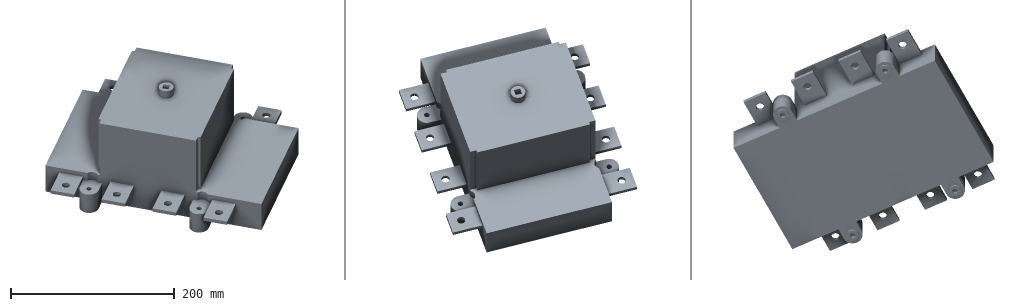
import cadquery as cq

BASE_LENGTH = 275.0
BASE_DEPTH = 160.0
BASE_HEIGHT = 40.0

CENTRE_X = -7.5

HOUSING_LENGTH = 130.0
HOUSING_TOP = 119.0
NOTCH_LENGTH = 3.5
NOTCH_DEPTH = 8.0

SHAFT_DIAMETER = 18.0
SHAFT_TOP = 130.0
SOCKET_SIDE = 8.0
SOCKET_DEPTH = 10.0
SEAT_DIAMETER = 30.0
SEAT_DEPTH = 0.3

TERMINAL_COUNT = 4
TERMINAL_PITCH = 65.0
TERMINAL_WIDTH = 30.0
TERMINAL_THICKNESS = 5.0
TERMINAL_SPAN = 235.0
TERMINAL_HOLE_DIAMETER = 10.0
TERMINAL_HOLE_TO_TIP = 15.0

LUG_SPACING_X = 140.0
LUG_SPACING_Y = 190.0
LUG_WIDTH = 24.0
LUG_HEIGHT = 28.0
LUG_HOLE_DIAMETER = 6.5
FOOT_DIAMETER = 15.0
FOOT_HEIGHT = 2.0

RELIEF_DIAMETER = 15.0
RELIEF_SPACING_Y = 168.0

SIDES = (-1, 1)
TERMINAL_BOTTOM = LUG_HEIGHT


def block(length, depth, bottom, top, x=0.0, y=0.0):
    """Box centred on (x, y) between two heights."""
    return (
        cq.Workplane("XY", origin=(x, y, bottom))
        .rect(length, depth)
        .extrude(top - bottom)
    )


def cylinder(diameter, bottom, top, x, y):
    """Upright cylinder centred on (x, y) between two heights."""
    return (
        cq.Workplane("XY", origin=(x, y, bottom))
        .circle(diameter / 2)
        .extrude(top - bottom)
    )


def make_housing():
    """Upper housing with its four corner notches and the shaft seat."""
    housing = block(HOUSING_LENGTH, BASE_DEPTH, BASE_HEIGHT, HOUSING_TOP, CENTRE_X)
    for side_x in SIDES:
        for side_y in SIDES:
            corner_x = CENTRE_X + side_x * HOUSING_LENGTH / 2
            corner_y = side_y * BASE_DEPTH / 2
            housing = housing.cut(
                block(2 * NOTCH_LENGTH, 2 * NOTCH_DEPTH, BASE_HEIGHT, HOUSING_TOP, corner_x, corner_y)
            )
    return housing.cut(cylinder(SEAT_DIAMETER, HOUSING_TOP - SEAT_DEPTH, HOUSING_TOP, CENTRE_X, 0))


def make_shaft():
    """Drive shaft with a blind square socket in its top."""
    shaft = cylinder(SHAFT_DIAMETER, HOUSING_TOP - SEAT_DEPTH, SHAFT_TOP, CENTRE_X, 0)
    return shaft.cut(block(SOCKET_SIDE, SOCKET_SIDE, SHAFT_TOP - SOCKET_DEPTH, SHAFT_TOP, CENTRE_X))


def make_terminal_pair(x):
    """One bar through the base, forming a front and a back terminal."""
    top = TERMINAL_BOTTOM + TERMINAL_THICKNESS
    bar = block(TERMINAL_WIDTH, TERMINAL_SPAN, TERMINAL_BOTTOM, top, x)
    for side_y in SIDES:
        hole_y = side_y * (TERMINAL_SPAN / 2 - TERMINAL_HOLE_TO_TIP)
        bar = bar.cut(cylinder(TERMINAL_HOLE_DIAMETER, TERMINAL_BOTTOM, top, x, hole_y))
    return bar


def make_lug(x, side_y):
    """Round-ended lug reaching out from the base wall, with its foot pad."""
    wall_y = side_y * BASE_DEPTH / 2
    hole_y = side_y * LUG_SPACING_Y / 2
    lug = block(LUG_WIDTH, abs(hole_y - wall_y), 0, LUG_HEIGHT, x, (wall_y + hole_y) / 2)
    lug = lug.union(cylinder(LUG_WIDTH, 0, LUG_HEIGHT, x, hole_y))
    lug = lug.union(cylinder(FOOT_DIAMETER, -FOOT_HEIGHT, 0, x, hole_y))
    return lug.cut(cylinder(LUG_HOLE_DIAMETER, -FOOT_HEIGHT, LUG_HEIGHT, x, hole_y))


body = block(BASE_LENGTH, BASE_DEPTH, 0, BASE_HEIGHT)
body = body.union(make_housing())
body = body.union(make_shaft())

for side_x in SIDES:
    for side_y in SIDES:
        lug_x = CENTRE_X + side_x * LUG_SPACING_X / 2
        relief_y = side_y * RELIEF_SPACING_Y / 2
        body = body.cut(cylinder(RELIEF_DIAMETER, LUG_HEIGHT, BASE_HEIGHT, lug_x, relief_y))
        body = body.union(make_lug(lug_x, side_y))

for index in range(TERMINAL_COUNT):
    terminal_x = CENTRE_X + (index - (TERMINAL_COUNT - 1) / 2) * TERMINAL_PITCH
    body = body.union(make_terminal_pair(terminal_x))

result = body